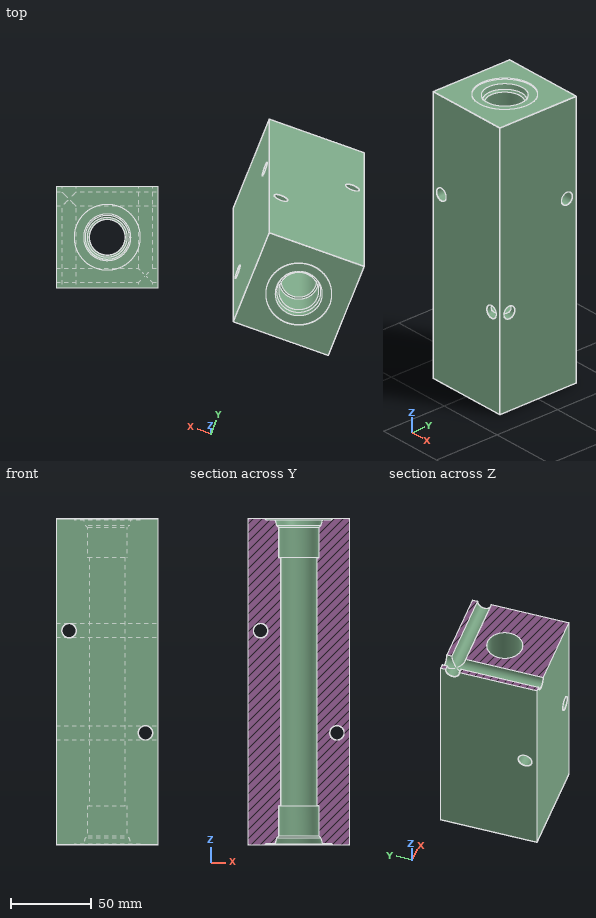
import cadquery as cq
import math

length = 203.2
width = 63.5
edge_break = 0.2

spotface_diameter = 41.0
spotface_depth = 0.8
seat_diameter = 29.3
seat_depth = 3.5
seat_half_angle = 15
thread_diameter = 24.8
thread_depth = 24.4
core_diameter = 22.1

cross_hole_diameter = 8.7
cross_hole_edge_distance = 8.0
cross_hole_spacing = 63.5

cross_hole_offset = width / 2 - cross_hole_edge_distance


def stepped_bore():
    """Bore revolved about Z, from a half profile of (radius, height) points."""
    top = length / 2
    seat_top = top - spotface_depth
    seat_bottom = seat_top - seat_depth
    seat_bottom_radius = seat_diameter / 2 - seat_depth * math.tan(math.radians(seat_half_angle))
    lead_in = seat_bottom_radius - thread_diameter / 2
    upper_half = [
        (spotface_diameter / 2, top),
        (spotface_diameter / 2, seat_top),
        (seat_diameter / 2, seat_top),
        (seat_bottom_radius, seat_bottom),
        (thread_diameter / 2, seat_bottom - lead_in),
        (thread_diameter / 2, top - thread_depth),
        (core_diameter / 2, top - thread_depth),
    ]
    lower_half = [(radius, -height) for radius, height in reversed(upper_half)]
    profile = [(0, top)] + upper_half + lower_half + [(0, -top)]
    return cq.Workplane("XZ").polyline(profile).close().revolve(360, (0, 0), (0, 1))


def cross_hole():
    """Through hole along Z, centred on the origin, chamfered at both mouths."""
    radius = cross_hole_diameter / 2
    mouth_radius = radius + edge_break
    face = width / 2
    profile = [
        (0, -face),
        (mouth_radius, -face),
        (radius, edge_break - face),
        (radius, face - edge_break),
        (mouth_radius, face),
        (0, face),
    ]
    return cq.Workplane("XZ").polyline(profile).close().revolve(360, (0, 0), (0, 1))


block = cq.Workplane("XY").box(width, width, length).edges().chamfer(edge_break)
block = block.cut(stepped_bore())

along_y = cross_hole().rotate((0, 0, 0), (1, 0, 0), 90)
along_x = cross_hole().rotate((0, 0, 0), (0, 1, 0), 90)
for side in (1, -1):
    across = side * cross_hole_offset
    up = side * cross_hole_spacing / 2
    block = block.cut(along_y.translate((-across, 0, up)))
    block = block.cut(along_x.translate((0, across, up)))

result = block